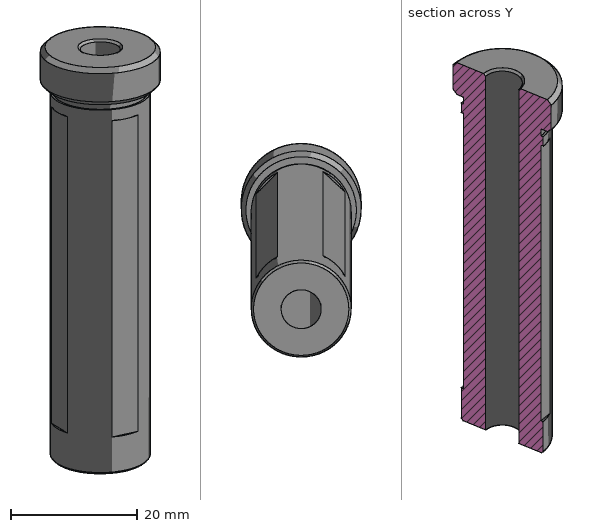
import cadquery as cq

total_length = 69.85
head_diameter = 19.05
head_height = 6.35
head_chamfer = 0.762
shank_diameter = 15.875
shank_end_chamfer = 0.381

groove_width = 1.27
groove_depth = 0.381

flat_count = 4
flat_depth = 0.381
flat_top_margin = 3.175
flat_bottom_margin = 6.35

bore_diameter = 6.35
bore_chamfer = 0.381

bottom_z = -total_length / 2
top_z = total_length / 2
head_bottom_z = top_z - head_height
groove_bottom_z = head_bottom_z - groove_width
flat_bottom_z = bottom_z + flat_bottom_margin
flat_length = head_bottom_z - flat_top_margin - flat_bottom_z


def cylinder(diameter, base_z, height):
    return cq.Workplane("XY").workplane(offset=base_z).circle(diameter / 2).extrude(height)


def make_shank():
    shank = cylinder(shank_diameter, bottom_z, groove_bottom_z - bottom_z)
    return shank.faces("<Z").edges().chamfer(shank_end_chamfer)


def make_neck():
    return cylinder(shank_diameter - 2 * groove_depth, groove_bottom_z, groove_width)


def make_head():
    head = cylinder(head_diameter, head_bottom_z, head_height)
    return head.edges("%CIRCLE").chamfer(head_chamfer)


def cut_flats(body):
    flat_distance = shank_diameter / 2 - flat_depth
    cutter = cq.Workplane("XY").box(
        shank_diameter, shank_diameter, flat_length, centered=(False, True, False)
    ).translate((flat_distance, 0, flat_bottom_z))
    for index in range(flat_count):
        body = body.cut(cutter.rotate((0, 0, 0), (0, 0, 1), index * 360 / flat_count))
    return body


def cut_bore(body):
    body = body.cut(cylinder(bore_diameter, bottom_z, total_length))
    lead_in = cq.Solid.makeCone(
        bore_diameter / 2,
        bore_diameter / 2 + bore_chamfer,
        bore_chamfer,
        pnt=cq.Vector(0, 0, top_z - bore_chamfer),
    )
    return body.cut(cq.Workplane(lead_in))


shank_with_flats = cut_flats(make_shank())
result = cut_bore(shank_with_flats.union(make_neck()).union(make_head()))